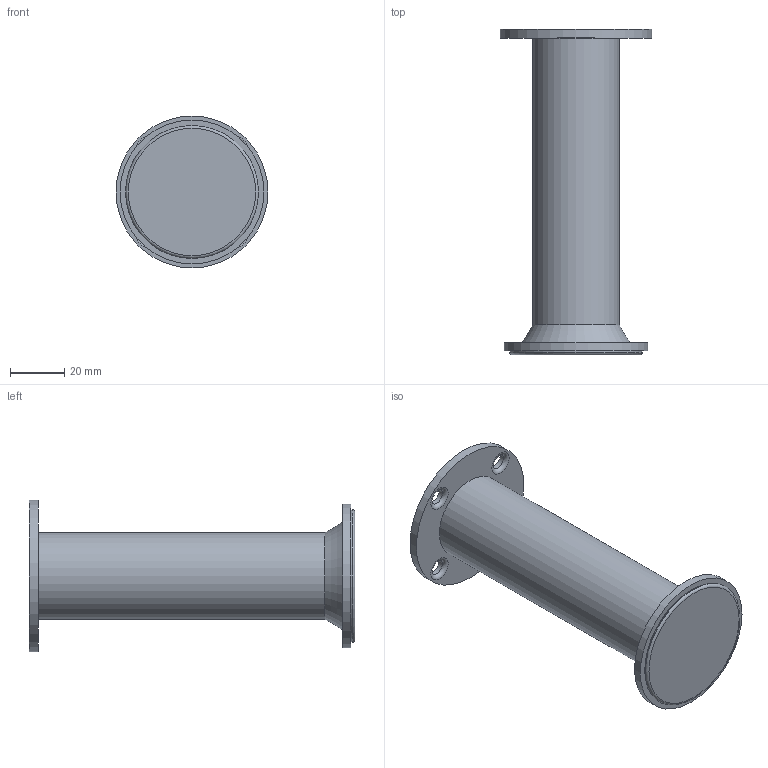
import cadquery as cq

total_length = 120.0
stem_radius = 16.0

base_radius = 28.0
base_thickness = 3.3
screw_count = 4
screw_circle_radius = 22.5
screw_first_angle = 45.0
screw_diameter = 6.0
screw_mouth_radius = 1.5

flare_length = 6.5
flare_radius = 20.0
flare_sag = 0.25
head_radius = 26.5
head_thickness = 3.0
spacer_radius = 24.2
spacer_thickness = 0.5
cap_radius = 24.5
cap_thickness = 1.0

cap_back_y = -total_length + cap_thickness
head_front_y = cap_back_y + spacer_thickness
head_back_y = head_front_y + head_thickness
flare_start_y = head_back_y + flare_length

cap_edge_radius = cap_thickness
cap_face_radius = cap_radius - cap_edge_radius

flare_middle = (
    (flare_start_y + head_back_y) / 2,
    (stem_radius + flare_radius) / 2 - flare_sag,
)


def make_base():
    """Mounting flange with its ring of screw holes."""
    plate = cq.Workplane("XZ").circle(base_radius).extrude(base_thickness)
    drilled = (
        plate.faces("<Y")
        .workplane(origin=(0, 0, 0))
        .polarArray(screw_circle_radius, screw_first_angle, 360, screw_count)
        .hole(screw_diameter)
    )
    return (
        drilled.faces("<Y")
        .edges(cq.selectors.RadiusNthSelector(0))
        .fillet(screw_mouth_radius)
    )


def make_stem_and_head():
    """Revolve the half profile (Y along the axis, radius along Z) about the Y axis."""
    return (
        cq.Workplane("YZ")
        .moveTo(-base_thickness, 0)
        .lineTo(-base_thickness, stem_radius)
        .lineTo(flare_start_y, stem_radius)
        .threePointArc(flare_middle, (head_back_y, flare_radius))
        .lineTo(head_back_y, head_radius)
        .lineTo(head_front_y, head_radius)
        .lineTo(head_front_y, spacer_radius)
        .lineTo(cap_back_y, spacer_radius)
        .lineTo(cap_back_y, cap_radius)
        .radiusArc((-total_length, cap_face_radius), -cap_edge_radius)
        .lineTo(-total_length, 0)
        .close()
        .revolve(360, (0, 0, 0), (1, 0, 0))
    )


result = make_base().union(make_stem_and_head())